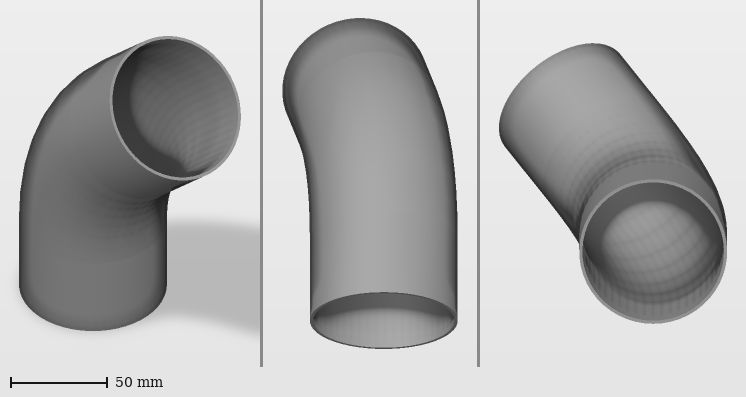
import cadquery as cq
import math

outer_diameter = 76.2
inner_diameter = 73.0
leg_length = 45.0
bend_radius = 113.8
bend_angle = 45.0

angle = math.radians(bend_angle)


def bend_point(turned):
    """Point (X, Z) on the bend centreline after turning by the given angle."""
    return (
        bend_radius * (1 - math.cos(turned)),
        leg_length + bend_radius * math.sin(turned),
    )


bend_start = (0, leg_length)
bend_end = bend_point(angle)
upper_end = (
    bend_end[0] + leg_length * math.sin(angle),
    bend_end[1] + leg_length * math.cos(angle),
)
centreline = (
    cq.Workplane("XZ")
    .lineTo(*bend_start)
    .threePointArc(bend_point(angle / 2), bend_end)
    .lineTo(*upper_end)
)

wall_section = cq.Workplane("XY").circle(outer_diameter / 2).circle(inner_diameter / 2)
result = wall_section.sweep(centreline)